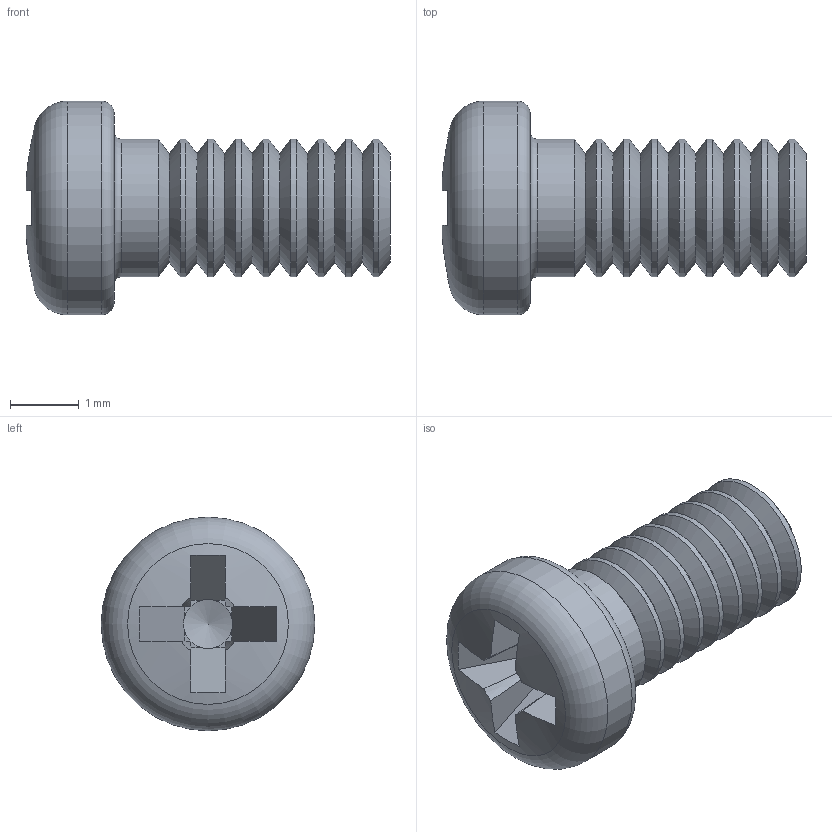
import cadquery as cq
import math

HEAD_RADIUS = 1.55
HEAD_HEIGHT = 1.3
DOME_RADIUS = 5.0
HEAD_CORNER_RADIUS = 0.5
HEAD_RIM_RADIUS = 0.18

SHANK_RADIUS = 1.0
SHANK_LENGTH = 4.0
NECK_FILLET_RADIUS = 0.1
THREAD_PITCH = 0.4
GROOVE_COUNT = 8
GROOVE_DEPTH = 0.2165
GROOVE_HALF_WIDTH = 0.16

WING_WIDTH = 0.5
WING_REACH = 1.0
WING_END_ANGLE = 26.5
RECESS_FLOOR_X = 0.11
CORE_MOUTH_RADIUS = 0.465
CORE_FLOOR_RADIUS = 0.357
POINT_ANGLE = 145.0


def make_head():
    """Domed head, revolved about X, with a rounded rim at its underside."""
    dome_center_x = DOME_RADIUS - HEAD_HEIGHT
    corner_center_radius = HEAD_RADIUS - HEAD_CORNER_RADIUS
    center_distance = DOME_RADIUS - HEAD_CORNER_RADIUS
    tangent_angle = math.asin(corner_center_radius / center_distance)
    corner_center_x = dome_center_x - center_distance * math.cos(tangent_angle)

    def dome_point(angle):
        return (dome_center_x - DOME_RADIUS * math.cos(angle), DOME_RADIUS * math.sin(angle))

    corner_mid_angle = (tangent_angle + math.pi / 2) / 2
    corner_mid = (
        corner_center_x - HEAD_CORNER_RADIUS * math.cos(corner_mid_angle),
        corner_center_radius + HEAD_CORNER_RADIUS * math.sin(corner_mid_angle),
    )
    rim_center_radius = HEAD_RADIUS - HEAD_RIM_RADIUS
    rim_mid_offset = HEAD_RIM_RADIUS * math.sqrt(0.5)
    rim_mid = (rim_mid_offset - HEAD_RIM_RADIUS, rim_center_radius + rim_mid_offset)

    return (
        cq.Workplane("XY")
        .moveTo(-HEAD_HEIGHT, 0)
        .threePointArc(dome_point(tangent_angle / 2), dome_point(tangent_angle))
        .threePointArc(corner_mid, (corner_center_x, HEAD_RADIUS))
        .lineTo(-HEAD_RIM_RADIUS, HEAD_RADIUS)
        .threePointArc(rim_mid, (0, rim_center_radius))
        .lineTo(0, 0)
        .close()
        .revolve(360, (0, 0, 0), (1, 0, 0))
    )


def make_shank():
    """Shank with V grooves, a chamfered tip and a fillet where it meets the head."""
    root_radius = SHANK_RADIUS - GROOVE_DEPTH
    first_root_x = SHANK_LENGTH - GROOVE_COUNT * THREAD_PITCH
    fillet_top = SHANK_RADIUS + NECK_FILLET_RADIUS
    fillet_mid_offset = NECK_FILLET_RADIUS * (1 - math.sqrt(0.5))

    profile = (
        cq.Workplane("XY")
        .moveTo(0, 0)
        .lineTo(0, fillet_top)
        .threePointArc(
            (fillet_mid_offset, SHANK_RADIUS + fillet_mid_offset),
            (NECK_FILLET_RADIUS, SHANK_RADIUS),
        )
    )
    for groove in range(GROOVE_COUNT):
        root_x = first_root_x + groove * THREAD_PITCH
        profile = (
            profile.lineTo(root_x - GROOVE_HALF_WIDTH, SHANK_RADIUS)
            .lineTo(root_x, root_radius)
            .lineTo(root_x + GROOVE_HALF_WIDTH, SHANK_RADIUS)
        )
    return (
        profile.lineTo(SHANK_LENGTH - GROOVE_HALF_WIDTH, SHANK_RADIUS)
        .lineTo(SHANK_LENGTH, root_radius)
        .lineTo(SHANK_LENGTH, 0)
        .close()
        .revolve(360, (0, 0, 0), (1, 0, 0))
    )


def make_recess():
    """Two crossed wedges with sloping ends, around a tapered core with a conical point."""
    sagitta = DOME_RADIUS - math.sqrt(DOME_RADIUS**2 - WING_REACH**2)
    wing_mouth_x = sagitta - HEAD_HEIGHT
    end_slope = math.tan(math.radians(WING_END_ANGLE))
    floor_reach = WING_REACH - (RECESS_FLOOR_X - wing_mouth_x) * end_slope
    top_reach = WING_REACH + (wing_mouth_x + HEAD_HEIGHT) * end_slope
    wing = (
        cq.Workplane("XY")
        .polyline(
            [
                (-HEAD_HEIGHT, -top_reach),
                (-HEAD_HEIGHT, top_reach),
                (RECESS_FLOOR_X, floor_reach),
                (RECESS_FLOOR_X, -floor_reach),
            ]
        )
        .close()
        .extrude(WING_WIDTH / 2, both=True)
    )
    point_depth = CORE_FLOOR_RADIUS / math.tan(math.radians(POINT_ANGLE / 2))
    core = (
        cq.Workplane("XY")
        .polyline(
            [
                (-HEAD_HEIGHT, 0),
                (-HEAD_HEIGHT, CORE_MOUTH_RADIUS),
                (RECESS_FLOOR_X, CORE_FLOOR_RADIUS),
                (RECESS_FLOOR_X + point_depth, 0),
            ]
        )
        .close()
        .revolve(360, (0, 0, 0), (1, 0, 0))
    )
    return wing.union(wing.rotate((0, 0, 0), (1, 0, 0), 90)).union(core)


result = make_head().union(make_shank()).cut(make_recess())